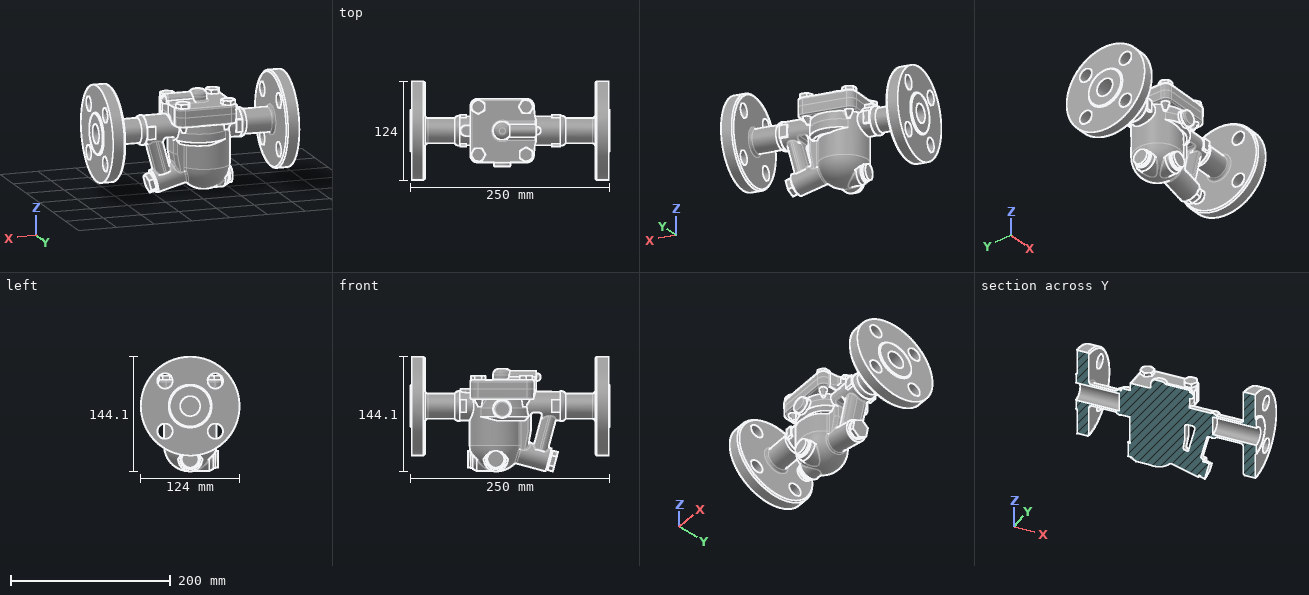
import cadquery as cq
import math

FACE_TO_FACE = 250.0
BODY_X = -18.0
COVER_X = -10.0

FLANGE_D = 124.0
RAISED_FACE_D = 51.0
RAISED_FACE_H = 1.5
RAISED_FACE_FLARE = 45.0
FLANGE_BACK_X = 106.5
FLANGE_CHAMFER = 2.0
BOLT_CIRCLE_D = 88.9
FLANGE_HOLE_D = 19.0
FLANGE_HOLES = 4
FIRST_HOLE_ANGLE = 45.0
BORE_D = 25.0
BORE_DEPTH = 60.0

PIPE_D = 32.0
PIPE_FILLET = 3.5
NECK_D = 36.6
COLLAR_D = 38.0
COLLAR_START_X = 63.0
COLLAR_END_X = 69.5
COLLAR_ROUND = 7.0
PAD_Y = 20.0
PAD_HEIGHT = 16.0
LEFT_PAD = (-62.7, -54.8)
RIGHT_PAD = (52.2, 62.9)

BODY_R = 33.0
BODY_BOTTOM = -82.08
DOME_Z = BODY_BOTTOM + BODY_R
COVER_TOP = 32.8
COVER_SPLIT = 21.7
COVER_BOTTOM = 8.5
COVER_SIZE = 80.0
COVER_CORNER = 9.5
COVER_EDGE = 2.0
COVER_DRAFT = 1.0
BAND_X = -11.35
BAND_R = 37.2
BAND_NECK_R = 36.0
BAND_TOP = -2.0
BAND_BOTTOM = -13.3
BAND_FOOT_R = 33.0
BAND_FOOT_Z = -18.6

BOLT_OFFSET = 30.0
BOLT_FLATS = 16.0
BOLT_HEAD_H = 5.3
BOLT_CHAMFER = 0.8
BOLT_BOSS_TOP_R = 6.0
BOLT_BOSS_TIP_R = 2.0
BOLT_BOSS_LEAN = 2.0
BOLT_BOSS_BOTTOM = -1.0

CAP_R = 11.5
CAP_TOP = 47.0
CAP_ROUND = 7.5
CAP_FILLET = 2.0
PASSAGE_R = 8.0
PASSAGE_Z = 36.3
PASSAGE_END_X = 33.0
PASSAGE_END_ROUND = 1.5
PASSAGE_FILLET = 4.2
PIN_D = 10.0
PIN_END_X = 38.4
RIB_X = 33.0
RIB_SHOULDER_X = 31.4
RIB_SHOULDER_Y = 16.0
RIB_ROOT_X = 30.3
RIB_ROOT_Y = 27.0
RIB_TAPER_X = 29.0

PLUG_D = 21.0
PORT_D = 30.0
PORT_FACE_D = 25.0
PORT_Z = -66.5
PORT_CONE = 24.0
PORT_FACE = 28.7
PORT_COLLAR_D = 23.0
PORT_COLLAR_END = 31.2
PORT_PLUG_END = 35.0
SIDE_PLUG_Z = -3.5
SIDE_COLLAR_Y = -40.0
SIDE_PLUG_Y = -45.0
SIDE_PLUG_ROUND = 1.8

STRAINER_TILT = 15.0
STRAINER_D = 30.0
STRAINER_END = (48.3, -67.4)
STRAINER_LENGTH = 52.0
STRAINER_NECK_D = 23.0
STRAINER_NECK_L = 2.0
STRAINER_HEX_L = 6.8
STRAINER_HEX_FLATS = 22.0
LEG_CENTER = (44.7, -28.6)
LEG_WIDTH = 18.7
LEG_DEPTH = 28.0
LEG_ROUND = 8.2
LEG_HALF_LENGTH = 28.0

WEB_X = 26.2
WEB_HALF_WIDTH = 14.5
WEB_ROUND = 4.0
WEB_BEND_Z = -31.0
WEB_FOOT = (21.0, -58.0)

WEB_BLEND = 3.0
WEB_BLEND_X = (5.0, 24.0)
PORT_BLEND = 1.5
LEG_FOOT_BLEND = 1.5
LEG_FOOT_Z = (-62.0, -45.0)
LEG_TOP_BLEND = 1.0
LEG_TOP_Z = (-22.0, -11.0)
BLEND_MARGIN = 1.0

WINDOW_TOP = -8.3
WINDOW_BOTTOM = -25.0
WINDOW_ROUND = 3.0

TOP_BOSS_R = 6.7
TOP_BOSS_X = -55.6
TOP_BOSS_Z = 22.0
TOP_BOSS_ROUND = 1.2


def cylinder_x(diameter, x_start, x_end):
    return cq.Workplane("YZ", origin=(x_start, 0, 0)).circle(diameter / 2).extrude(x_end - x_start)


def cylinder_z(radius, x, y, z_start, z_end):
    return cq.Workplane("XY", origin=(x, y, z_start)).circle(radius).extrude(z_end - z_start)


def across_corners(flats):
    """Corner-to-corner size of a hexagon."""
    return flats / math.cos(math.pi / 6)


def concave_middle(size):
    """Distance of a quarter fillet's midpoint from both of the faces it joins."""
    return size * (1 - math.sqrt(0.5))


def fillet_within(shape, low, high, radius):
    """Round those edges of a shape whose centres lie inside a box."""
    return shape.edges(cq.selectors.BoxSelector(low, high)).fillet(radius)


def fillet_curves_within(shape, low, high, radius):
    """Round only the curved edges inside a box, leaving the straight seams alone."""
    edges = shape.edges(cq.selectors.BoxSelector(low, high))
    return edges.filter(lambda edge: edge.geomType() != "LINE").fillet(radius)


def flange_end():
    """Flange, pipe stub and rounded neck collar of the +X end."""
    raised_x = FACE_TO_FACE / 2 - RAISED_FACE_H
    flange = cylinder_x(FLANGE_D, FLANGE_BACK_X, raised_x).faces("<X").edges().chamfer(FLANGE_CHAMFER)
    holes = (
        cq.Workplane("YZ", origin=(FLANGE_BACK_X, 0, 0))
        .polarArray(BOLT_CIRCLE_D / 2, FIRST_HOLE_ANGLE, 360, FLANGE_HOLES)
        .circle(FLANGE_HOLE_D / 2)
        .extrude(raised_x - FLANGE_BACK_X)
    )
    flare = RAISED_FACE_H * math.tan(math.radians(RAISED_FACE_FLARE))
    flared_d = RAISED_FACE_D + 2 * flare
    raised_face = (
        cq.Workplane("YZ", origin=(raised_x, 0, 0))
        .circle(flared_d / 2)
        .extrude(RAISED_FACE_H, taper=RAISED_FACE_FLARE)
    )
    flange = flange.cut(holes).union(raised_face)
    pipe_r = PIPE_D / 2
    root_x = FLANGE_BACK_X - PIPE_FILLET
    mid = concave_middle(PIPE_FILLET)
    pipe = (
        cq.Workplane("XY")
        .moveTo(COLLAR_START_X, 0)
        .lineTo(COLLAR_START_X, pipe_r)
        .lineTo(root_x, pipe_r)
        .threePointArc((FLANGE_BACK_X - mid, pipe_r + mid), (FLANGE_BACK_X, pipe_r + PIPE_FILLET))
        .lineTo(FLANGE_BACK_X, 0)
        .close()
        .revolve(360, (0, 0, 0), (1, 0, 0))
    )
    collar = (
        cq.Workplane("XY")
        .moveTo(COLLAR_START_X, 0)
        .lineTo(COLLAR_START_X, COLLAR_D / 2)
        .radiusArc((COLLAR_END_X, pipe_r), COLLAR_ROUND)
        .lineTo(COLLAR_END_X, 0)
        .close()
        .revolve(360, (0, 0, 0), (1, 0, 0))
    )
    return flange.union(pipe).union(collar)


def necks():
    shape = cylinder_x(NECK_D, -COLLAR_START_X, COLLAR_START_X)
    for start, end in (LEFT_PAD, RIGHT_PAD):
        pad = cq.Workplane("XY").box(end - start, 2 * PAD_Y, PAD_HEIGHT)
        shape = shape.union(pad.translate(((start + end) / 2, 0, 0)))
    return shape


def inlet_top_boss():
    boss = (
        cq.Workplane("XY")
        .moveTo(COVER_X, -TOP_BOSS_R)
        .lineTo(TOP_BOSS_X, -TOP_BOSS_R)
        .threePointArc((TOP_BOSS_X - TOP_BOSS_R, 0), (TOP_BOSS_X, TOP_BOSS_R))
        .lineTo(COVER_X, TOP_BOSS_R)
        .close()
        .extrude(TOP_BOSS_Z)
    )
    return boss.faces(">Z").edges().fillet(TOP_BOSS_ROUND)


def flow_band():
    """Wider ring of the vessel under the cover."""
    return (
        cq.Workplane("XZ")
        .polyline([
            (0, BAND_FOOT_Z),
            (BAND_FOOT_R, BAND_FOOT_Z),
            (BAND_R, BAND_BOTTOM),
            (BAND_R, BAND_TOP),
            (BAND_NECK_R, COVER_BOTTOM),
            (0, COVER_BOTTOM),
        ])
        .close()
        .revolve(360, (0, 0, 0), (0, 1, 0))
        .translate((BAND_X, 0, 0))
    )


def vessel():
    """Round-bottomed vessel blended into its lower ports, web, strainer and return leg."""
    shape = cylinder_z(BODY_R, BODY_X, 0, DOME_Z, COVER_BOTTOM)
    shape = shape.union(cq.Workplane("XY").sphere(BODY_R).translate((BODY_X, 0, DOME_Z)))
    shape = shape.union(lower_ports())
    port_reach = PORT_CONE - BLEND_MARGIN
    shape = fillet_within(
        shape,
        (BODY_X - port_reach, -port_reach, BODY_BOTTOM),
        (BODY_X + BLEND_MARGIN, PORT_D, DOME_Z - BLEND_MARGIN),
        PORT_BLEND,
    )
    shape = shape.union(web()).union(strainer_with_leg())
    shape = fillet_within(
        shape,
        (WEB_BLEND_X[0], -PORT_D, BODY_BOTTOM),
        (WEB_BLEND_X[1], PORT_D, BAND_FOOT_Z),
        WEB_BLEND,
    )
    return shape


def cover_plate(height, draft):
    """Plate with rounded corners and a rounded far edge, standing on the XY plane."""
    outline = cq.Sketch().rect(COVER_SIZE, COVER_SIZE).vertices().fillet(COVER_CORNER)
    plate = cq.Workplane("XY").placeSketch(outline).extrude(height, taper=draft)
    return plate.faces(">Z").edges().fillet(COVER_EDGE)


def cover():
    upper = cover_plate(COVER_TOP - COVER_SPLIT, 0)
    lower = cover_plate(COVER_SPLIT - COVER_BOTTOM, COVER_DRAFT).mirror("XY")
    return upper.union(lower).translate((COVER_X, 0, COVER_SPLIT))


def bolt_head(turn):
    corners = across_corners(BOLT_FLATS)
    head = cq.Workplane("XY").polygon(6, corners).extrude(BOLT_HEAD_H)
    crown = cylinder_z(corners / 2, 0, 0, 0, BOLT_HEAD_H).faces(">Z").edges().chamfer(BOLT_CHAMFER)
    return head.intersect(crown).rotate((0, 0, 0), (0, 0, 1), turn)


def bolt_boss(x_side, y_side):
    """Tapered boss under one corner of the joint, leaning towards the vessel."""
    boss = (
        cq.Workplane("XY")
        .circle(BOLT_BOSS_TOP_R)
        .workplane(offset=BOLT_BOSS_BOTTOM - COVER_BOTTOM - COVER_EDGE)
        .center(-x_side * BOLT_BOSS_LEAN, -y_side * BOLT_BOSS_LEAN)
        .circle(BOLT_BOSS_TIP_R)
        .loft()
    )
    return boss.translate((0, 0, COVER_BOTTOM + COVER_EDGE))


def cover_bolts():
    shape = cq.Workplane("XY")
    for x_side in (-1, 1):
        for y_side in (-1, 1):
            place = (COVER_X + x_side * BOLT_OFFSET, y_side * BOLT_OFFSET, 0)
            turn = 90 if x_side != y_side else 0
            head = bolt_head(turn).translate((0, 0, COVER_TOP))
            shape = shape.union(head.translate(place))
            shape = shape.union(bolt_boss(x_side, y_side).translate(place))
    return shape


def cap():
    mid = concave_middle(CAP_FILLET)
    foot = (
        cq.Workplane("XZ")
        .moveTo(0, COVER_TOP)
        .lineTo(CAP_R + CAP_FILLET, COVER_TOP)
        .threePointArc((CAP_R + mid, COVER_TOP + mid), (CAP_R, COVER_TOP + CAP_FILLET))
        .lineTo(0, COVER_TOP + CAP_FILLET)
        .close()
        .revolve(360, (0, 0, 0), (0, 1, 0))
    )
    dome = cylinder_z(CAP_R, 0, 0, COVER_BOTTOM, CAP_TOP).faces(">Z").edges().fillet(CAP_ROUND)
    return dome.union(foot).translate((COVER_X, 0, 0))


def passage():
    """Outlet passage on the cover, with its round-nosed pin."""
    foot_y = PASSAGE_R + PASSAGE_FILLET
    foot_z = COVER_TOP + PASSAGE_FILLET
    mid = concave_middle(PASSAGE_FILLET)
    foot = (
        cq.Workplane("YZ")
        .moveTo(-foot_y, COVER_TOP)
        .threePointArc((-PASSAGE_R - mid, COVER_TOP + mid), (-PASSAGE_R, foot_z))
        .lineTo(PASSAGE_R, foot_z)
        .threePointArc((PASSAGE_R + mid, COVER_TOP + mid), (foot_y, COVER_TOP))
        .close()
        .extrude(PASSAGE_END_X - PASSAGE_END_ROUND - COVER_X)
        .translate((COVER_X, 0, 0))
    )
    tube = cylinder_x(2 * PASSAGE_R, COVER_X, PASSAGE_END_X).faces(">X").edges().fillet(PASSAGE_END_ROUND)
    pin_center_x = PIN_END_X - PIN_D / 2
    pin = cylinder_x(PIN_D, COVER_X, pin_center_x).union(
        cq.Workplane("XY").sphere(PIN_D / 2).translate((pin_center_x, 0, 0))
    )
    return foot.union(tube.union(pin).translate((0, 0, PASSAGE_Z)))


def cover_rib():
    """Thickening of the joint under the outlet passage, tapering away towards the bottom."""
    foot_y = PASSAGE_R + PASSAGE_FILLET
    plan = (
        cq.Workplane("XY", origin=(0, 0, COVER_BOTTOM))
        .polyline([
            (COVER_X, -RIB_ROOT_Y),
            (RIB_ROOT_X, -RIB_ROOT_Y),
            (RIB_SHOULDER_X, -RIB_SHOULDER_Y),
            (RIB_X, -foot_y),
            (RIB_X, foot_y),
            (RIB_SHOULDER_X, RIB_SHOULDER_Y),
            (RIB_ROOT_X, RIB_ROOT_Y),
            (COVER_X, RIB_ROOT_Y),
        ])
        .close()
        .extrude(COVER_TOP - COVER_BOTTOM)
    )
    side = (
        cq.Workplane("XZ")
        .polyline([
            (COVER_X, COVER_TOP),
            (RIB_X, COVER_TOP),
            (RIB_X, COVER_SPLIT),
            (RIB_TAPER_X, COVER_BOTTOM),
            (COVER_X, COVER_BOTTOM),
        ])
        .close()
        .extrude(RIB_ROOT_Y, both=True)
    )
    return plan.intersect(side)


def port():
    """Plugged port along +X from the origin."""
    return (
        cq.Workplane("XY")
        .polyline([
            (0, 0),
            (0, PORT_D / 2),
            (PORT_CONE, PORT_D / 2),
            (PORT_FACE, PORT_FACE_D / 2),
            (PORT_FACE, PORT_COLLAR_D / 2),
            (PORT_COLLAR_END, PORT_COLLAR_D / 2),
            (PORT_COLLAR_END, PLUG_D / 2),
            (PORT_PLUG_END, PLUG_D / 2),
            (PORT_PLUG_END, 0),
        ])
        .close()
        .revolve(360, (0, 0, 0), (1, 0, 0))
    )


def lower_ports():
    shape = cq.Workplane("XY")
    for heading in (180, -90):
        turned = port().rotate((0, 0, 0), (0, 0, 1), heading)
        shape = shape.union(turned.translate((BODY_X, 0, PORT_Z)))
    return shape


def side_port():
    side = cq.Workplane("XZ", origin=(COVER_X, 0, SIDE_PLUG_Z))
    plug = side.circle(PLUG_D / 2).extrude(-SIDE_PLUG_Y).faces("<Y").edges().fillet(SIDE_PLUG_ROUND)
    collar = side.circle(PORT_COLLAR_D / 2).extrude(-SIDE_COLLAR_Y)
    return plug.union(collar)


def strainer():
    tube = cylinder_x(STRAINER_D, -STRAINER_LENGTH, 0)
    neck = cylinder_x(STRAINER_NECK_D, 0, STRAINER_NECK_L)
    plug = (
        cq.Workplane("YZ", origin=(STRAINER_NECK_L, 0, 0))
        .transformed(rotate=(0, 0, 90))
        .polygon(6, across_corners(STRAINER_HEX_FLATS))
        .extrude(STRAINER_HEX_L)
    )
    shape = tube.union(neck).union(plug)
    shape = shape.rotate((0, 0, 0), (0, 1, 0), STRAINER_TILT)
    return shape.translate((STRAINER_END[0], 0, STRAINER_END[1]))


def return_leg():
    leg = cq.Workplane("XY").box(LEG_WIDTH, LEG_DEPTH, 2 * LEG_HALF_LENGTH).edges("|Z").fillet(LEG_ROUND)
    leg = leg.rotate((0, 0, 0), (0, 1, 0), STRAINER_TILT)
    return leg.translate((LEG_CENTER[0], 0, LEG_CENTER[1]))


def strainer_with_leg():
    """Strainer tube and return leg, rounded where the leg stands on the tube."""
    shape = strainer().union(return_leg())
    half_depth = STRAINER_D / 2
    return fillet_curves_within(
        shape,
        (WEB_X, -half_depth, LEG_FOOT_Z[0]),
        (STRAINER_END[0] + STRAINER_NECK_L, half_depth, LEG_FOOT_Z[1]),
        LEG_FOOT_BLEND,
    )


def window():
    """Opening under the outlet neck, bounded by the web and the return leg."""
    slope = math.tan(math.radians(STRAINER_TILT))
    leg_side = LEG_CENTER[0] - LEG_WIDTH / 2 / math.cos(math.radians(STRAINER_TILT))
    top_x = leg_side + (WINDOW_TOP - LEG_CENTER[1]) * slope
    bottom_x = leg_side + (WINDOW_BOTTOM - LEG_CENTER[1]) * slope
    opening = (
        cq.Workplane("XZ")
        .polyline([
            (WEB_X, WINDOW_TOP),
            (top_x, WINDOW_TOP),
            (bottom_x, WINDOW_BOTTOM),
            (WEB_X, WINDOW_BOTTOM),
        ])
        .close()
        .extrude(NECK_D / 2, both=True)
    )
    return opening.edges("|Y and >Z").fillet(WINDOW_ROUND)


def web():
    wall = (
        cq.Workplane("XZ")
        .polyline([
            (BODY_X, BAND_TOP),
            (WEB_X, BAND_TOP),
            (WEB_X, WEB_BEND_Z),
            WEB_FOOT,
            (BODY_X, WEB_FOOT[1]),
        ])
        .close()
        .extrude(WEB_HALF_WIDTH, both=True)
    )
    return wall.faces("<Y or >Y").edges("not |X").fillet(WEB_ROUND)


def bores():
    shape = cq.Workplane("XY")
    for side in (-1, 1):
        face_x = side * FACE_TO_FACE / 2
        shape = shape.union(cylinder_x(BORE_D, face_x, face_x - side * BORE_DEPTH))
    return shape


def body():
    """Necks and vessel, rounded where the return leg enters the outlet neck."""
    shape = necks().cut(window()).union(vessel())
    half_depth = NECK_D / 2
    return fillet_curves_within(
        shape,
        (LEG_CENTER[0] - LEG_ROUND, -half_depth, LEG_TOP_Z[0]),
        (COLLAR_START_X - BLEND_MARGIN, half_depth, LEG_TOP_Z[1]),
        LEG_TOP_BLEND,
    )


flanged_end = flange_end()
features = (
    flow_band,
    inlet_top_boss,
    cover,
    cover_bolts,
    cap,
    passage,
    cover_rib,
    side_port,
)
result = body().union(flanged_end).union(flanged_end.mirror("YZ"))
for feature in features:
    result = result.union(feature())
result = result.cut(bores())